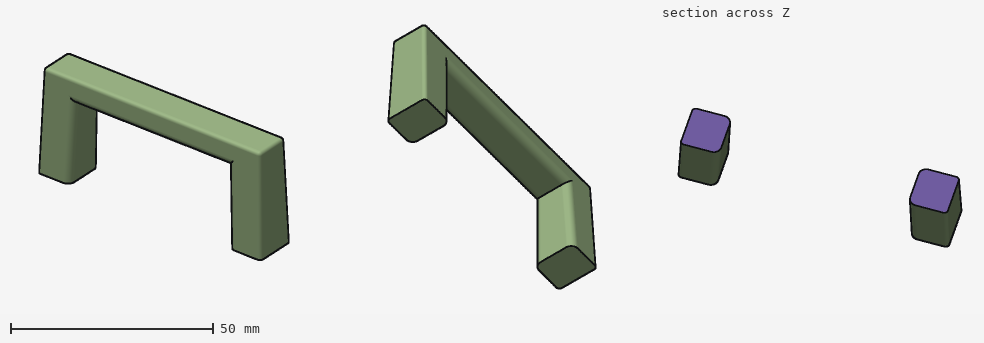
import cadquery as cq
import math

length = 70.0
depth = 12.0
height = 30.0

outer_lean = 1.0
outer_taper = math.degrees(math.atan(outer_lean / height))

foot_width = 10.0
bar_height = 7.0
opening_height = height - bar_height
opening_length = length - 2 * foot_width

opening_lean = 1.0

outer_radius = 1.0
opening_radius = 2.0


def make_body():
    """Solid block whose four sides lean inward towards the top."""
    return cq.Workplane("XY").rect(length, depth).extrude(height, taper=outer_taper)


def round_outside(body):
    """Round the top rim and the four leaning corner edges."""
    return body.edges("not <Z").fillet(outer_radius)


def make_opening():
    """Opening under the bar, narrowing upward and running through the depth."""
    half_bottom = opening_length / 2
    half_top = half_bottom - opening_lean
    return (
        cq.Workplane("XZ")
        .moveTo(-half_bottom, 0)
        .lineTo(-half_top, opening_height)
        .lineTo(half_top, opening_height)
        .lineTo(half_bottom, 0)
        .close()
        .extrude(depth / 2, both=True)
    )


def round_opening(handle):
    """Round the edges where the opening meets the front and back faces."""
    margin = foot_width / 2
    around_opening = cq.selectors.BoxSelector(
        (-opening_length / 2 - margin, -depth, outer_radius),
        (opening_length / 2 + margin, depth, opening_height + outer_radius),
    )
    through_depth = cq.selectors.ParallelDirSelector(cq.Vector(0, 1, 0))
    return handle.edges(around_opening - through_depth).fillet(opening_radius)


handle_blank = round_outside(make_body())
result = round_opening(handle_blank.cut(make_opening()))